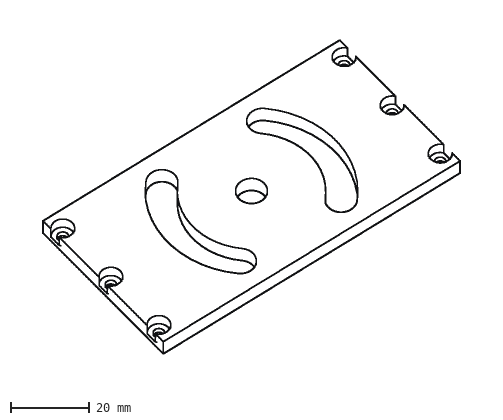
import cadquery as cq
import math

WIDTH = 50.0
LENGTH = 96.0
THICKNESS = 5.0

PIVOT_DIAMETER = 8.2

SLOT_RADIUS = 23.0
SLOT_WIDTH = 8.2
SLOT_HALF_ANGLE = 45.0

SCREW_DIAMETER = 3.0
COUNTERBORE_DIAMETER = 6.0
COUNTERBORE_DEPTH = 3.4
SCREW_PITCH = 20.0
SCREW_EDGE_DISTANCE = 2.5
SCREWS_PER_EDGE = 3


def polar_point(radius, angle):
    """Point at the given radius and angle in degrees about the pivot."""
    radians = math.radians(angle)
    return radius * math.cos(radians), radius * math.sin(radians)


def curved_slot(middle_angle):
    """Through cutter for a round-ended arc slot about the pivot."""
    inner = SLOT_RADIUS - SLOT_WIDTH / 2
    outer = SLOT_RADIUS + SLOT_WIDTH / 2
    start = middle_angle - SLOT_HALF_ANGLE
    end = middle_angle + SLOT_HALF_ANGLE
    tip_angle = math.degrees(math.atan2(SLOT_WIDTH / 2, SLOT_RADIUS))
    tip_radius = math.hypot(SLOT_RADIUS, SLOT_WIDTH / 2)
    return (
        cq.Workplane("XY")
        .moveTo(*polar_point(outer, start))
        .threePointArc(polar_point(outer, middle_angle), polar_point(outer, end))
        .threePointArc(polar_point(tip_radius, end + tip_angle), polar_point(inner, end))
        .threePointArc(polar_point(inner, middle_angle), polar_point(inner, start))
        .threePointArc(polar_point(tip_radius, start - tip_angle), polar_point(outer, start))
        .close()
        .extrude(THICKNESS)
    )


plate = cq.Workplane("XY").box(WIDTH, LENGTH, THICKNESS, centered=(True, True, False))
plate = plate.faces(">Z").workplane().hole(PIVOT_DIAMETER)

for slot_angle in (90, 270):
    plate = plate.cut(curved_slot(slot_angle))

screw_row_spacing = LENGTH - 2 * SCREW_EDGE_DISTANCE
result = (
    plate.faces(">Z")
    .workplane(origin=(0, 0, THICKNESS))
    .rarray(SCREW_PITCH, screw_row_spacing, SCREWS_PER_EDGE, 2)
    .cboreHole(SCREW_DIAMETER, COUNTERBORE_DIAMETER, COUNTERBORE_DEPTH)
)